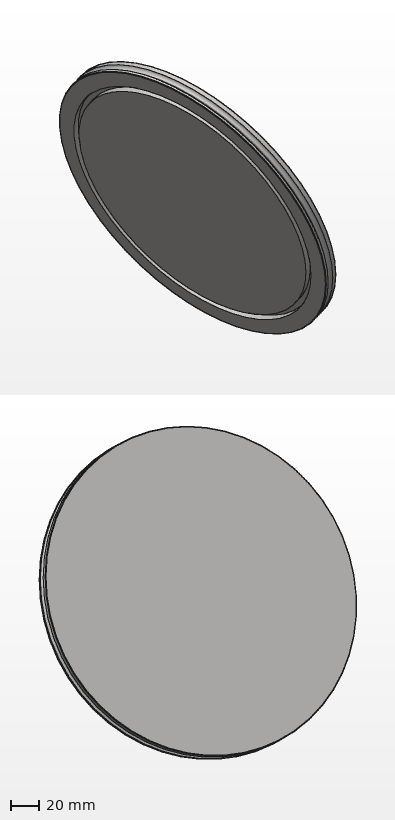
import cadquery as cq
import math

outer_radius = 120.0
thickness = 12.0
edge_chamfer = 0.5
back_face = thickness / 2
front_face = -thickness / 2

groove_depth = 2.5
groove_back_y = back_face - 4.0
groove_bottom_y = back_face - 7.2
groove_front_y = back_face - 9.4

ring_outer_radius = 106.5
ring_inner_radius = 102.0
ring_depth = 5.0


def make_disc():
    """Return the disc with both outer edges chamfered, centred on the origin."""
    disc = cq.Workplane("XZ", origin=(0, back_face, 0)).circle(outer_radius).extrude(thickness)
    return disc.edges().chamfer(edge_chamfer)


def flank_midpoint(lip_y):
    """Return a point halfway along the flank arc that is level at the groove bottom."""
    reach = lip_y - groove_bottom_y
    arc_radius = (reach**2 + groove_depth**2) / (2 * groove_depth)
    half_angle = math.atan2(groove_depth, abs(reach))
    rise = arc_radius * (1 - math.cos(half_angle))
    run = math.copysign(arc_radius * math.sin(half_angle), reach)
    return (outer_radius - groove_depth + rise, groove_bottom_y + run)


def make_rim_groove():
    """Return the ring whose two arcs cut the groove and meet level at its bottom."""
    bottom = (outer_radius - groove_depth, groove_bottom_y)
    back_lip = (outer_radius, groove_back_y)
    front_lip = (outer_radius, groove_front_y)
    clear_radius = outer_radius + groove_depth
    return (
        cq.Workplane("XY")
        .moveTo(*bottom)
        .threePointArc(flank_midpoint(groove_back_y), back_lip)
        .lineTo(clear_radius, groove_back_y)
        .lineTo(clear_radius, groove_front_y)
        .lineTo(*front_lip)
        .threePointArc(flank_midpoint(groove_front_y), bottom)
        .close()
        .revolve(360, (0, 0, 0), (0, 1, 0))
    )


def make_ring_groove():
    """Return the square-sided ring that cuts the groove into the front face."""
    return (
        cq.Workplane("XZ", origin=(0, front_face + ring_depth, 0))
        .circle(ring_outer_radius)
        .circle(ring_inner_radius)
        .extrude(ring_depth)
    )


result = make_disc().cut(make_rim_groove()).cut(make_ring_groove())